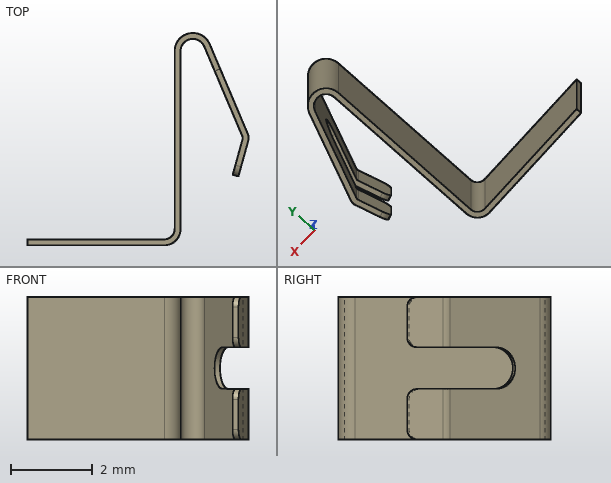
import cadquery as cq
import math


overall_length = 5.43
overall_depth = 5.21
strip_width = 3.5
thickness = 0.15

base_length = 3.36
tip_length = 0.91
base_bend_inside = 0.25
hairpin_inside = 0.3
knee_inside = 0.1
arm_angle = 23.0
tip_angle = 15.5

slot_width = 1.02
slot_start = 0.65
prong_corner_radius = 0.25

base_bend_outside = base_bend_inside + thickness
hairpin_outside = hairpin_inside + thickness
knee_outside = knee_inside + thickness


def unit(angle):
    """Unit vector in the XY plane at an angle in degrees from +X."""
    return cq.Vector(math.cos(math.radians(angle)), math.sin(math.radians(angle)))


arm_normal = unit(arm_angle)
arm_direction = unit(arm_angle - 90)
tip_normal = unit(-tip_angle)
tip_direction = unit(-tip_angle - 90)

base_bend_center = cq.Vector(base_length, base_bend_outside)
hairpin_center = cq.Vector(base_length + base_bend_inside + hairpin_outside, overall_depth - hairpin_outside)

knee_offset = arm_normal * (hairpin_inside - knee_inside)
knee_run_x = overall_length - knee_outside - hairpin_center.x - knee_offset.x
arm_length = knee_run_x / arm_direction.x
knee_center = hairpin_center + knee_offset + arm_direction * arm_length


def make_strip():
    """Bent strip of constant thickness, as one closed profile extruded along Z."""

    def add_bend(profile, center, radius, start_angle, end_angle):
        """Straight run up to a bend, then the arc of the bend itself."""
        start = center + unit(start_angle) * radius
        middle = center + unit((start_angle + end_angle) / 2) * radius
        end = center + unit(end_angle) * radius
        return profile.lineTo(start.x, start.y).threePointArc(middle.toTuple()[:2], end.toTuple()[:2])

    tip_inner_end = knee_center + tip_normal * knee_inside + tip_direction * tip_length
    tip_outer_end = tip_inner_end + tip_normal * thickness

    profile = cq.Workplane("XY").moveTo(0, 0)
    profile = add_bend(profile, base_bend_center, base_bend_outside, -90, 0)
    profile = add_bend(profile, hairpin_center, hairpin_inside, 180, arm_angle)
    profile = add_bend(profile, knee_center, knee_inside, arm_angle, -tip_angle)
    profile = profile.lineTo(tip_inner_end.x, tip_inner_end.y)
    profile = profile.lineTo(tip_outer_end.x, tip_outer_end.y)
    profile = add_bend(profile, knee_center, knee_outside, -tip_angle, arm_angle)
    profile = add_bend(profile, hairpin_center, hairpin_outside, arm_angle, 180)
    profile = add_bend(profile, base_bend_center, base_bend_inside, 0, -90)
    return profile.lineTo(0, thickness).close().extrude(strip_width)


def make_slot_cutter():
    """Round-ended slot square to the arm, open past the end of the tip."""
    slot_radius = slot_width / 2
    slot_length = arm_length + knee_outside + tip_length - slot_start
    depth = thickness + (knee_outside + tip_length) * math.sin(math.radians(arm_angle + tip_angle))
    slot_end = hairpin_center + arm_normal * hairpin_outside + arm_direction * slot_start
    plane = cq.Plane(
        origin=(slot_end.x, slot_end.y, strip_width / 2),
        xDir=arm_direction.toTuple(),
        normal=arm_normal.toTuple(),
    )
    return (
        cq.Workplane(plane)
        .moveTo(slot_length, slot_radius)
        .lineTo(slot_radius, slot_radius)
        .threePointArc((0, 0), (slot_radius, -slot_radius))
        .lineTo(slot_length, -slot_radius)
        .close()
        .extrude(-depth)
    )


def round_prong_corners(clip):
    """Round both free corners of each prong, across the thickness of the tip."""
    return clip.edges(cq.selectors.ParallelDirSelector(tip_normal)).fillet(prong_corner_radius)


result = round_prong_corners(make_strip().cut(make_slot_cutter()))